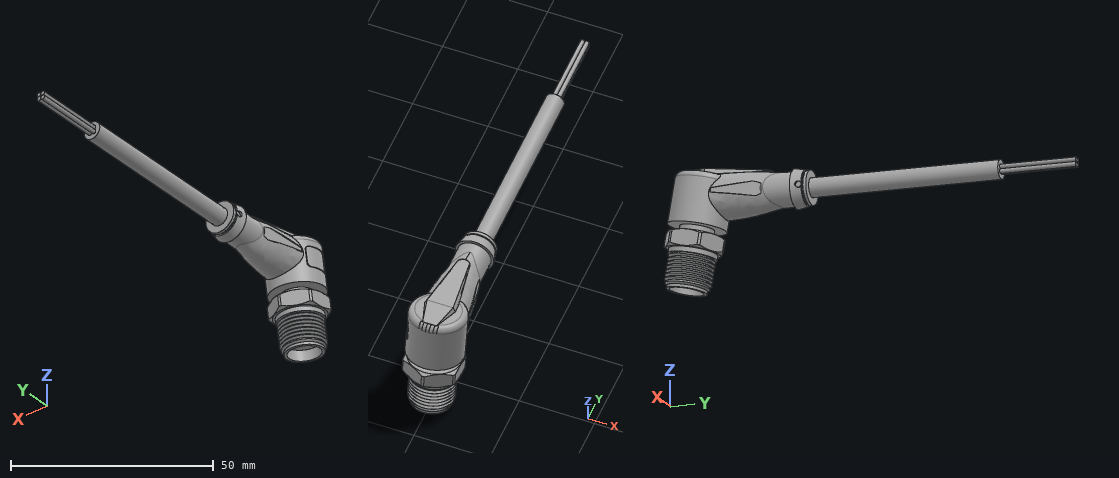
import cadquery as cq
import math


WIRE_DIA = 1.2
WIRE_BARE_LENGTH = 20.0
JACKET_DIA = 5.0
JACKET_LENGTH = 50.0

SLEEVE_DIA = 8.9
SLEEVE_END_Y = 29.07
GROOVE_DEPTH = 0.3
GROOVE_WIDTH = 0.4
RING_BACK_Y = 27.8
RING_FRONT_Y = 25.0
RING_BACK_DIA = 9.2
RING_FRONT_DIA = 10.3
DIMPLE_DIA = 1.6
DIMPLE_DEPTH = 0.3
DIMPLE_Y = 27.1

GRIP_SECTIONS = [
    (22.3, 3.6, 4.43, 4.35),
    (17.0, 4.6, 5.05, 5.2),
    (11.0, 5.75, 5.6, 6.0),
    (0.0, 6.4, 5.6, 6.2),
]
FACET_BACK_Y = 17.2
FACET_BACK_X = 4.4
FACET_FRONT_Y = 4.4
FACET_FRONT_X = 6.1
FACET_BACK_HALF_HEIGHT = 2.1
FACET_FRONT_HIGH_Z = 0.8
FACET_FRONT_LOW_Z = -0.3
FACET_CUT_DEPTH = 3.0

RIB_BACK_Y = 19.0
RIB_BACK_Z = 5.15
RIB_BACK_HALF_WIDTH = 1.8
RIB_CREST_Y = 2.0
RIB_CREST_HALF_WIDTH = 4.3
RIB_FRONT_Y = -5.8
RIB_FRONT_HALF_WIDTH = 2.5
RIB_BASE_Z = 4.9
RIB_TOP_Z = 6.65
RIB_SIDE_SLOPE = 25.0

HEAD_TILT = 10.0
HEAD_DIA = 15.0
HEAD_TOP = 5.65
HEAD_BOTTOM = -7.64
HEAD_TOP_ROUND = 1.6
RIDGE_PITCH = 1.9
RIDGE_WIDTH = 0.9
RIDGE_HEIGHT = 1.6
RIDGE_ROUND = 1.35
RIDGE_LENGTH = 1.6
BADGE_Y = -0.45
BADGE_Z = -0.5
BADGE_WIDTH = 7.7
BADGE_HEIGHT = 5.7
BADGE_CORNER = 1.0
BADGE_DEPTH = 0.2

CARRIER_DIA = 8.75
CARRIER_RECESS = 3.0

NUT_TOP = -9.4
HEX_ACROSS_FLATS = 14.0
HEX_HEIGHT = 4.3
HEX_TURN = 30.0
HEX_CORNER_DIA = 15.76
HEX_CHAMFER_DIA = 13.8
HEX_CHAMFER_ANGLE = 30.0
COLLAR_DIA = 12.4
COLLAR_HEIGHT = 1.3
THREAD_DIA = 12.0
THREAD_ROOT_DIA = 10.9
THREAD_PITCH = 1.0
THREAD_TURNS = 7
LAST_CREST_DIA = 11.4
END_DIA = 10.3
NUT_BOTTOM = -23.76


def along_y(y_start, y_end, dia_start, dia_end):
    """Round bar or cone about the cable axis."""
    profile = [(0, y_start), (dia_start / 2, y_start), (dia_end / 2, y_end), (0, y_end)]
    return cq.Workplane("XY").polyline(profile).close().revolve(360, (0, 0, 0), (0, 1, 0))


def tilt(body):
    """Lean a body from the upright head frame into its final place."""
    return body.rotate((0, 0, 0), (1, 0, 0), -HEAD_TILT)


def make_sleeve():
    sleeve = along_y(0, SLEEVE_END_Y, SLEEVE_DIA, SLEEVE_DIA)
    ring = along_y(RING_FRONT_Y, RING_BACK_Y, RING_FRONT_DIA, RING_BACK_DIA)
    sleeve = sleeve.union(ring)
    groove_end = RING_BACK_Y + GROOVE_WIDTH
    groove = along_y(RING_BACK_Y, groove_end, 2 * SLEEVE_DIA, 2 * SLEEVE_DIA)
    core_dia = SLEEVE_DIA - 2 * GROOVE_DEPTH
    groove = groove.cut(along_y(RING_BACK_Y, groove_end, core_dia, core_dia))
    sleeve = sleeve.cut(groove)
    dimple_floor = RING_BACK_DIA / 2 - DIMPLE_DEPTH
    for side in (1, -1):
        dimple = (
            cq.Workplane("YZ", origin=(side * dimple_floor, 0, 0))
            .center(DIMPLE_Y, 0)
            .circle(DIMPLE_DIA / 2)
            .extrude(side * RING_FRONT_DIA)
        )
        sleeve = sleeve.cut(dimple)
    return sleeve


def make_grip():
    grip = cq.Workplane("XZ")
    previous_y = 0
    for y, half_width, top, bottom in GRIP_SECTIONS:
        grip = (
            grip.workplane(offset=previous_y - y)
            .moveTo(0, (top - bottom) / 2)
            .ellipse(half_width, (top + bottom) / 2)
        )
        previous_y = y
    grip = grip.loft(combine=True)
    return grip.cut(make_side_facet(1)).cut(make_side_facet(-1))


def make_side_facet(side):
    """Wedge that cuts a flat, pointed facet into one flank of the grip."""
    run_x = FACET_FRONT_X - FACET_BACK_X
    run_y = FACET_FRONT_Y - FACET_BACK_Y
    facet_plane = cq.Plane(
        origin=(side * FACET_BACK_X, FACET_BACK_Y, 0),
        xDir=(side * run_x, run_y, 0),
        normal=(-side * run_y, run_x, 0),
    )
    facet_length = math.hypot(run_x, run_y)
    up = -side
    outline = [
        (0, up * FACET_BACK_HALF_HEIGHT),
        (facet_length, up * FACET_FRONT_HIGH_Z),
        (facet_length, up * FACET_FRONT_LOW_Z),
        (0, -up * FACET_BACK_HALF_HEIGHT),
    ]
    return cq.Workplane(facet_plane).polyline(outline).close().extrude(FACET_CUT_DEPTH)


def make_rib():
    """Teardrop rib that climbs the grip and runs level over the head."""
    plan = (
        cq.Workplane("XY", origin=(0, 0, RIB_BASE_Z))
        .moveTo(-RIB_FRONT_HALF_WIDTH, RIB_FRONT_Y)
        .lineTo(-RIB_CREST_HALF_WIDTH, RIB_CREST_Y)
        .lineTo(-RIB_BACK_HALF_WIDTH, RIB_BACK_Y - RIB_BACK_HALF_WIDTH)
        .threePointArc((0, RIB_BACK_Y), (RIB_BACK_HALF_WIDTH, RIB_BACK_Y - RIB_BACK_HALF_WIDTH))
        .lineTo(RIB_CREST_HALF_WIDTH, RIB_CREST_Y)
        .lineTo(RIB_FRONT_HALF_WIDTH, RIB_FRONT_Y)
        .close()
        .extrude(RIB_TOP_Z - RIB_BASE_Z, taper=RIB_SIDE_SLOPE)
    )
    side = [
        (RIB_BACK_Y, 0),
        (RIB_BACK_Y, RIB_BACK_Z),
        (RIB_CREST_Y, RIB_TOP_Z),
        (RIB_FRONT_Y, RIB_TOP_Z),
        (RIB_FRONT_Y, 0),
    ]
    under_crest = cq.Workplane("YZ").polyline(side).close().extrude(HEAD_DIA / 2, both=True)
    return plan.intersect(under_crest)


def make_head_barrel(top_round):
    return (
        cq.Workplane("XY", origin=(0, 0, HEAD_BOTTOM))
        .circle(HEAD_DIA / 2)
        .extrude(HEAD_TOP - HEAD_BOTTOM)
        .faces(">Z")
        .edges()
        .fillet(top_round)
    )


def make_head():
    """Barrel with three small ridges on the front of its rounded top edge."""
    ridge_center_y = -(HEAD_DIA - RIDGE_LENGTH) / 2
    ridge_center_z = HEAD_TOP - RIDGE_HEIGHT / 2
    ridge_seats = [(i * RIDGE_PITCH, ridge_center_y) for i in (-1, 0, 1)]
    ridges = (
        cq.Workplane("XY", origin=(0, 0, ridge_center_z))
        .pushPoints(ridge_seats)
        .box(RIDGE_WIDTH, RIDGE_LENGTH, RIDGE_HEIGHT)
        .intersect(make_head_barrel(RIDGE_ROUND))
    )
    return make_head_barrel(HEAD_TOP_ROUND).union(ridges)


def make_badge():
    """Shallow recess with rounded corners that follows the wall of the head."""
    block = (
        cq.Workplane("YZ")
        .center(BADGE_Y, BADGE_Z)
        .rect(BADGE_WIDTH, BADGE_HEIGHT)
        .extrude(-HEAD_DIA)
        .edges("|X")
        .fillet(BADGE_CORNER)
    )
    core = (
        cq.Workplane("XY")
        .circle(HEAD_DIA / 2 - BADGE_DEPTH)
        .extrude(BADGE_HEIGHT, both=True)
    )
    return block.cut(core)


housing = make_sleeve().union(make_grip()).union(make_rib())
housing = housing.union(tilt(make_head())).cut(tilt(make_badge()))

jacket_end_y = SLEEVE_END_Y + JACKET_LENGTH
jacket = along_y(SLEEVE_END_Y, jacket_end_y, JACKET_DIA, JACKET_DIA)


def make_wire(x, z):
    wire = along_y(jacket_end_y, jacket_end_y + WIRE_BARE_LENGTH, WIRE_DIA, WIRE_DIA)
    return wire.translate((x, 0, z))


wires = []
for x_side in (-1, 1):
    for z_side in (-1, 1):
        wires.append(make_wire(x_side * WIRE_DIA / 2, z_side * WIRE_DIA / 2))

carrier_bottom = NUT_BOTTOM + CARRIER_RECESS
carrier = tilt(
    cq.Workplane("XY", origin=(0, 0, carrier_bottom))
    .circle(CARRIER_DIA / 2)
    .extrude(HEAD_BOTTOM - carrier_bottom)
)


def make_hexagon():
    """Hexagon with turned-down corners and chamfered faces."""
    sharp_dia = 2 * HEX_ACROSS_FLATS / math.sqrt(3)
    hexagon = (
        cq.Workplane("XY", origin=(0, 0, NUT_TOP))
        .polygon(6, sharp_dia)
        .extrude(-HEX_HEIGHT)
        .rotate((0, 0, 0), (0, 0, 1), HEX_TURN)
    )
    corner_radius = HEX_CORNER_DIA / 2
    face_radius = HEX_CHAMFER_DIA / 2
    drop = (corner_radius - face_radius) * math.tan(math.radians(HEX_CHAMFER_ANGLE))
    hex_bottom = NUT_TOP - HEX_HEIGHT
    profile = [
        (0, NUT_TOP),
        (face_radius, NUT_TOP),
        (corner_radius, NUT_TOP - drop),
        (corner_radius, hex_bottom + drop),
        (face_radius, hex_bottom),
        (0, hex_bottom),
    ]
    turned = cq.Workplane("XZ").polyline(profile).close().revolve(360, (0, 0, 0), (0, 1, 0))
    return hexagon.intersect(turned)


def make_threaded_shank():
    """Collar, a row of V-shaped crests, a lower last crest and the plain end."""
    hex_bottom = NUT_TOP - HEX_HEIGHT
    thread_top = hex_bottom - COLLAR_HEIGHT
    root = THREAD_ROOT_DIA / 2
    profile = [(0, hex_bottom), (COLLAR_DIA / 2, hex_bottom), (COLLAR_DIA / 2, thread_top)]
    for turn in range(THREAD_TURNS):
        turn_top = thread_top - turn * THREAD_PITCH
        profile.append((root, turn_top))
        profile.append((THREAD_DIA / 2, turn_top - THREAD_PITCH / 2))
    last_turn_top = thread_top - THREAD_TURNS * THREAD_PITCH
    profile.append((root, last_turn_top))
    profile.append((LAST_CREST_DIA / 2, last_turn_top - THREAD_PITCH / 2))
    profile.append((END_DIA / 2, last_turn_top - THREAD_PITCH))
    profile.append((END_DIA / 2, NUT_BOTTOM))
    profile.append((0, NUT_BOTTOM))
    return cq.Workplane("XZ").polyline(profile).close().revolve(360, (0, 0, 0), (0, 1, 0))


bore = (
    cq.Workplane("XY", origin=(0, 0, NUT_BOTTOM))
    .circle(CARRIER_DIA / 2)
    .extrude(NUT_TOP - NUT_BOTTOM)
)
nut = tilt(make_hexagon().union(make_threaded_shank()).cut(bore))

result = cq.Compound.makeCompound(
    [housing.val(), jacket.val(), *[wire.val() for wire in wires], carrier.val(), nut.val()]
)